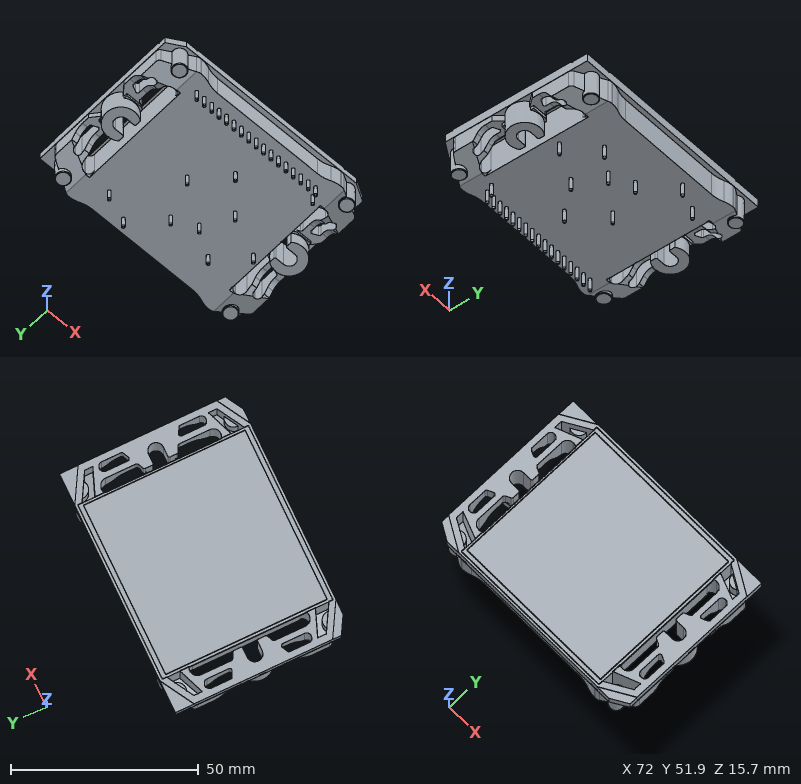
import cadquery as cq
import math

frame_top = 3.2
corner_drop = 0.3
ceramic_top = 2.6
copper_top = frame_top
body_bottom = -7.9
post_bottom = -8.2
pin_bottom = -12.45

length = 72.0
width = 51.9
corner_cut_x = 5.1
corner_step_x = 9.6
bevel_angle = 30.0
half_length = length / 2
half_width = width / 2
bevel_slope = math.tan(math.radians(bevel_angle))

ceramic_length = 52.5
ceramic_width = 50.3
ceramic_thickness = 0.65
copper_length = 51.0
copper_width = 47.7
end_wall_x = copper_length / 2

body_inset = 0.1
skirt_x = half_length - body_inset
shoulder_y = half_width - body_inset
waist_x = 18.15
waist_y = 24.5
bend_x = 22.25
bend_y = 25.3
shoulder_x = 25.55
skirt_corner_y = 20.3
bevel_x = skirt_x - (shoulder_y - skirt_corner_y) / bevel_slope
shoulder_radius = (bevel_x - shoulder_x) / math.tan(math.radians(bevel_angle / 2))
skirt_radius = 1.45
skirt_edge_z = -5.5
skirt_angle = 15.0
skirt_slope = math.tan(math.radians(skirt_angle))

arch_crown = (9.3, -2.0)
arch_bend = (12.0, -3.45)
arch_spring = (13.5, -5.4)
arch_foot = (17.8, body_bottom)

boss_x = 30.6
boss_radius = 5.25
screw_slot_width = 4.3
recess_mouth_y = 7.05
recess_floor_y = 3.95
recess_depth = 2.5
collar_width = 10.95
collar_bottom = -3.1

post_x = 30.45
post_y = 22.75
post_diameter = 4.55
post_chamfer = 0.2
post_core_radius = 2.5
post_core_top = -0.4

pocket_outer_x = 33.9
pocket_outer_y = 19.5
pocket_inner_y = 17.1
pocket_inner_end_y = 20.0
pocket_end_x = ceramic_length / 2
pocket_floor_wall = 1.45

side_slot = [(34.05, 15.7, 1.3), (31.3, 15.7, 1.3), (31.3, 7.05, 0.6), (34.05, 8.35, 0.6)]
window_overlap_x = 28.8
window = [
    (end_wall_x, 0, 0), (end_wall_x, 17.6, 1.7), (29.6, 17.6, 2.15), (29.6, 6.05, 0.6),
    (27.4, 5.05, 0.6), (27.4, screw_slot_width / 2, 0.4),
    (window_overlap_x, screw_slot_width / 2, 0), (window_overlap_x, 0, 0),
]

pin_diameter = 1.0
pin_tip_diameter = 0.6
pin_tip_height = 0.4
row_count = 17
row_start_x = -22.55
row_length = 43.2
row_pitch = row_length / (row_count - 1)
row_y = -21.0
scattered_pins = [
    (-18.7, 17.35), (-10.2, 20.95), (-6.6, -0.15), (-1.45, 11.9), (2.0, -9.7),
    (5.8, 8.5), (10.3, -0.7), (14.1, 14.0), (21.95, -18.5), (22.7, 5.5),
]


def rounded_outline(corners):
    """Closed outline through (x, y, radius) corners, each rounded by its tangent arc."""
    outline = None
    for i, (x, y, radius) in enumerate(corners):
        here = cq.Vector(x, y)
        before = (cq.Vector(*corners[i - 1][:2]) - here).normalized()
        after = (cq.Vector(*corners[(i + 1) % len(corners)][:2]) - here).normalized()
        half_angle = before.getAngle(after) / 2
        setback = radius / math.tan(half_angle)
        start = here + before * setback
        middle = here + (before + after).normalized() * (radius / math.sin(half_angle) - radius)
        end = here + after * setback
        outline = outline.lineTo(start.x, start.y) if outline else cq.Workplane().moveTo(start.x, start.y)
        if radius:
            outline = outline.threePointArc((middle.x, middle.y), (end.x, end.y))
    return outline.close()


def prism(outline, bottom, top):
    return outline.extrude(top - bottom).translate((0, 0, bottom))


def mirrored_y(solid):
    return solid.union(solid.mirror("XZ"))


def both_ends(solid):
    return solid.union(solid.mirror("YZ"))


def four_corners(solid):
    return both_ends(mirrored_y(solid))


def block(x, y, bottom, top):
    return cq.Workplane().box(x, y, top - bottom, centered=(True, True, False)).translate((0, 0, bottom))


def corner_triangle(leg_x):
    """Triangle at the (+X, +Y) frame corner, its long side along the bevel."""
    corner = (half_length, half_width)
    outline = cq.Workplane().polyline([
        corner, (half_length - leg_x, half_width), (half_length, half_width - leg_x * bevel_slope)
    ])
    return outline.close()


def make_frame():
    frame = block(length, width, 0, frame_top)
    cut_corner = prism(corner_triangle(corner_cut_x), 0, frame_top)
    frame = frame.cut(both_ends(cut_corner.mirror("XZ")))
    step = prism(corner_triangle(corner_step_x), frame_top - corner_drop, frame_top)
    return frame.cut(four_corners(step))


def above_skirt_slope(offset):
    """Space above the sloped skirt underside at the +X end, raised by offset."""
    edge_z = skirt_edge_z + offset
    inner_z = edge_z - half_length * skirt_slope
    profile = cq.Workplane("XZ").polyline([
        (0, inner_z), (half_length, edge_z), (half_length, frame_top), (0, frame_top)
    ])
    return profile.close().extrude(half_width, both=True)


def make_body():
    quarter = prism(rounded_outline([
        (0, 0, 0), (skirt_x, 0, 0), (skirt_x, skirt_corner_y, skirt_radius),
        (bevel_x, shoulder_y, shoulder_radius), (0, shoulder_y, 0),
    ]), body_bottom, 0)
    waist = (
        cq.Workplane().moveTo(0, waist_y).lineTo(waist_x, waist_y)
        .tangentArcPoint((bend_x, bend_y), relative=False)
        .tangentArcPoint((shoulder_x, shoulder_y), relative=False)
        .lineTo(shoulder_x, half_width).lineTo(0, half_width).close()
    )
    quarter = quarter.cut(prism(waist, body_bottom, 0))
    return four_corners(quarter.intersect(above_skirt_slope(0)))


def make_arch():
    profile = (
        cq.Workplane("YZ").moveTo(0, body_bottom).lineTo(0, arch_crown[1]).lineTo(*arch_crown)
        .tangentArcPoint(arch_bend, relative=False)
        .tangentArcPoint(arch_spring, relative=False)
        .lineTo(*arch_foot).close()
    )
    return four_corners(profile.extrude(half_length - end_wall_x).translate((end_wall_x, 0, 0)))


def make_boss_recess():
    outline = cq.Workplane().polyline([
        (half_length, recess_mouth_y), (half_length - recess_depth, recess_floor_y),
        (half_length - recess_depth, 0), (half_length, 0),
    ])
    return four_corners(prism(outline.close(), body_bottom, 0))


def make_bosses():
    boss = cq.Workplane().center(boss_x, 0).circle(boss_radius)
    collar_length = half_length - recess_depth - end_wall_x
    collar = block(collar_length, collar_width, collar_bottom, 0)
    collar = collar.translate((end_wall_x + collar_length / 2, 0, 0))
    return both_ends(prism(boss, body_bottom, 0).union(collar))


def make_posts():
    post = prism(cq.Workplane().center(post_x, post_y).circle(post_diameter / 2), post_bottom, 0)
    return four_corners(post.faces("<Z").chamfer(post_chamfer))


def make_openings():
    slot_radius = screw_slot_width / 2
    screw_slot = (
        cq.Workplane().moveTo(end_wall_x, -slot_radius).lineTo(boss_x, -slot_radius)
        .threePointArc((boss_x + slot_radius, 0), (boss_x, slot_radius))
        .lineTo(end_wall_x, slot_radius).close()
    )
    openings = both_ends(prism(screw_slot, body_bottom, frame_top))
    for corners in (window, side_slot):
        openings = openings.union(four_corners(prism(rounded_outline(corners), body_bottom, frame_top)))
    return openings


def make_pockets():
    pocket_end_y = pocket_outer_y + (pocket_outer_x - pocket_end_x) * bevel_slope
    outline = cq.Workplane().polyline([
        (pocket_outer_x, pocket_outer_y), (pocket_outer_x, pocket_inner_y),
        (pocket_end_x, pocket_inner_end_y), (pocket_end_x, pocket_end_y),
    ])
    pocket = prism(outline.close(), body_bottom, frame_top).intersect(above_skirt_slope(pocket_floor_wall))
    core = prism(cq.Workplane().center(post_x, post_y).circle(post_core_radius), body_bottom, post_core_top)
    return four_corners(pocket.cut(core))


def make_pin(x, y):
    shoulder_z = pin_bottom + pin_tip_height
    shank = prism(cq.Workplane().center(x, y).circle(pin_diameter / 2), shoulder_z, body_bottom)
    tip = (
        cq.Workplane().center(x, y).circle(pin_tip_diameter / 2)
        .workplane(offset=pin_tip_height).circle(pin_diameter / 2).loft()
    )
    return shank.union(tip.translate((0, 0, pin_bottom)))


result = make_frame().union(make_body())
result = result.cut(make_arch()).cut(make_boss_recess())
result = result.union(make_bosses()).union(make_posts())
result = result.cut(make_openings()).cut(make_pockets())

ceramic_bottom = ceramic_top - ceramic_thickness
result = result.cut(block(ceramic_length, ceramic_width, ceramic_bottom, copper_top))
result = result.union(block(ceramic_length, ceramic_width, ceramic_bottom, ceramic_top))
result = result.union(block(copper_length, copper_width, ceramic_top, copper_top))

row_pins = [(row_start_x + i * row_pitch, row_y) for i in range(row_count)]
for pin_x, pin_y in row_pins + scattered_pins:
    result = result.union(make_pin(pin_x, pin_y))